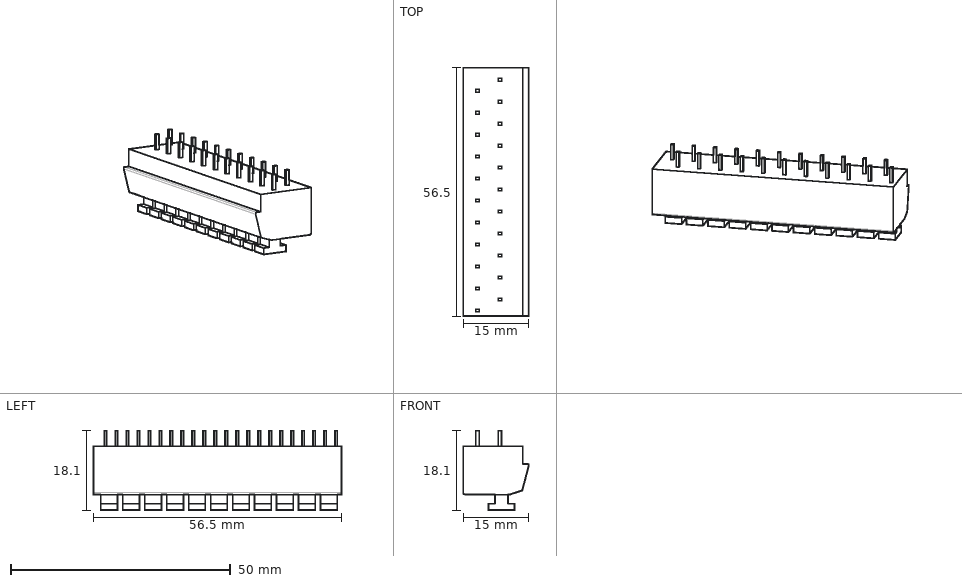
import cadquery as cq

length = 56.5
depth = 13.62
height = 11.0
bottom_edge_radius = 0.5

nose_top = 6.95
nose_tip_radius = 0.3
nose_tip_x = 15.09
ramp_height = 0.9
ramp_start_x = 10.7
ramp_end_x = 13.5

pole_count = 11
pole_pitch = 5.0
pin_size_x = 0.8
pin_size_y = 0.6
pin_length = 3.55
pin_row_x = 3.3
pin_row_spacing = 5.08
first_pin_y = 1.25

button_x = 8.75
button_width = 3.85
first_button_y = 2.9
stem_size = 3.0
stem_height = 2.05
head_size = 6.0
head_height = 1.5


def block(size_x, size_y, size_z, x, y, z):
    """Box centred on x and y, with its base at z."""
    base = cq.Workplane("XY", origin=(x, y, z))
    return base.box(size_x, size_y, size_z, centered=(True, True, False))


def housing():
    outline = [
        (0, 0),
        (ramp_start_x, 0),
        (ramp_end_x, ramp_height),
        (nose_tip_x, nose_top),
        (depth, nose_top),
        (depth, height),
        (0, height),
    ]
    body = cq.Workplane("XZ").polyline(outline).close().extrude(-length)
    bottom_edge = cq.selectors.NearestToPointSelector((0, length / 2, 0))
    body = body.edges(bottom_edge).fillet(bottom_edge_radius)
    tip = cq.selectors.NearestToPointSelector((nose_tip_x, length / 2, nose_top))
    return body.edges(tip).fillet(nose_tip_radius)


def pin(x, y):
    return block(pin_size_x, pin_size_y, pin_length, x, y, height)


def button(y):
    stem = block(stem_size, button_width, stem_height, button_x, y, -stem_height)
    head = block(head_size, button_width, head_height, button_x, y, -stem_height - head_height)
    return stem.union(head)


result = housing()
for pole in range(pole_count):
    pole_y = pole * pole_pitch
    near_pin_y = first_pin_y + pole_y
    far_pin_y = near_pin_y + pole_pitch / 2
    result = result.union(pin(pin_row_x, near_pin_y))
    result = result.union(pin(pin_row_x + pin_row_spacing, far_pin_y))
    result = result.union(button(first_button_y + pole_y))